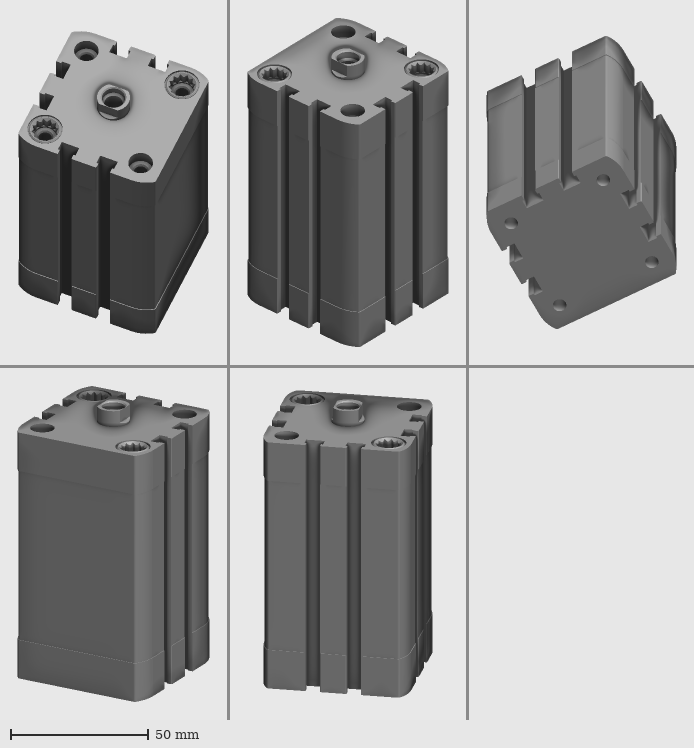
import cadquery as cq
import math

TOTAL_HEIGHT = 101.9
HOUSING_HEIGHT = 95.8
CAP_HEIGHT = 15.0

CAP_WIDTH = 54.5
BARREL_WIDTH = 54.0
HOLE_OFFSET = 19.0
CORNER_RADIUS = 13.8
CORNER_BLEND = 1.0

SLOTTED_FACE_ANGLES = (0, 90, 180)
SLOT_OFFSET = 7.6
SLOT_DEPTH = 5.5
SLOT_NECK_DEPTH = 2.0
SLOT_INNER_WIDTH = 6.9
SLOT_MOUTH_WIDTH = 5.4
RIB_CHAMFER = 0.3

THROUGH_DIAMETER = 4.9
COUNTERSINK_DIAMETER = 6.0
COUNTERBORE_DIAMETER = 9.0
SOCKET_DIAMETER = 8.5
RECESS_DEPTH = 5.0

SPLINE_ROOT_RADIUS = 5.0
SPLINE_DEPTH = 4.3
SPLINE_SQUARES = 3
SOCKET_MOUTH_DIAMETER = 10.6
GROOVE_OUTER_DIAMETER = 12.8
GROOVE_INNER_DIAMETER = 11.9
GROOVE_DEPTH = 0.8
GROOVE_CHAMFER = 0.5

ROD_DIAMETER = 12.0
ROD_BOTTOM = HOUSING_HEIGHT - CAP_HEIGHT
FLAT_WIDTH = 9.5
FLAT_HEIGHT = 4.7
FLAT_RUNOUT = 0.7
ROD_MOUTH_DIAMETER = 9.4
ROD_BORE_DIAMETER = 8.5
ROD_BORE_DEPTH = 3.1
ROD_TAP_DIAMETER = 6.8
ROD_TAP_DEPTH = 14.3
DRILL_POINT_ANGLE = 118.0


def revolved(profile, x=0.0, y=0.0):
    """Turn a closed (radius, height) profile about a vertical axis at x, y."""
    turned = cq.Workplane("XZ").polyline(profile).close().revolve(360, (0, 0, 0), (0, 1, 0))
    return turned.translate((x, y, 0))


def square_section(width, bottom, height):
    """Prism with flat sides and four corner arcs, each starting in line with a hole axis."""
    half = width / 2
    radius = CORNER_RADIUS - (CAP_WIDTH - width) / 2
    centre_y = half - radius
    reach = half - HOLE_OFFSET
    corner_y = centre_y + math.sqrt(radius**2 - reach**2)
    mid_angle = math.asin(reach / radius) / 2
    mid_x = HOLE_OFFSET + radius * math.sin(mid_angle)
    mid_y = centre_y + radius * math.cos(mid_angle)
    return (
        cq.Workplane("XY", origin=(0, 0, bottom))
        .moveTo(-HOLE_OFFSET, half)
        .lineTo(HOLE_OFFSET, half)
        .threePointArc((mid_x, mid_y), (half, corner_y))
        .lineTo(half, -corner_y)
        .threePointArc((mid_x, -mid_y), (HOLE_OFFSET, -half))
        .lineTo(-HOLE_OFFSET, -half)
        .threePointArc((-mid_x, -mid_y), (-half, -corner_y))
        .lineTo(-half, corner_y)
        .threePointArc((-mid_x, mid_y), (-HOLE_OFFSET, half))
        .close()
        .extrude(height)
        .edges("|Z and (>X or <X)")
        .fillet(CORNER_BLEND)
    )


def slot_cutter(bottom, height):
    """T-slot for the +Y face, centred on X = 0."""
    face = CAP_WIDTH / 2
    floor = face - SLOT_DEPTH
    shoulder = face - SLOT_NECK_DEPTH
    mouth = cq.Workplane("XY", origin=(0, (floor + face) / 2, bottom)).rect(
        SLOT_MOUTH_WIDTH, SLOT_DEPTH
    )
    inner = cq.Workplane("XY", origin=(0, (floor + shoulder) / 2, bottom)).rect(
        SLOT_INNER_WIDTH, shoulder - floor
    )
    return mouth.extrude(height).union(inner.extrude(height))


def slotted_section(width, bottom, height):
    """One length of the housing with a pair of T-slots in three of its faces."""
    section = square_section(width, bottom, height)
    cutter = slot_cutter(bottom, height)
    for face_angle in SLOTTED_FACE_ANGLES:
        for offset in (-SLOT_OFFSET, SLOT_OFFSET):
            slot = cutter.translate((offset, 0, 0)).rotate((0, 0, 0), (0, 0, 1), face_angle)
            section = section.cut(slot)
    return section


def make_cap(bottom):
    """End cap, with the rib between each pair of slots chamfered along its outer edges."""
    cap = slotted_section(CAP_WIDTH, bottom, CAP_HEIGHT)
    half = CAP_WIDTH / 2
    rib_edge = SLOT_OFFSET - SLOT_MOUTH_WIDTH / 2
    corner = [(rib_edge, half), (rib_edge - RIB_CHAMFER, half), (rib_edge, half - RIB_CHAMFER)]
    wedge = cq.Workplane("XY", origin=(0, 0, bottom)).polyline(corner).close().extrude(CAP_HEIGHT)
    for face_angle in SLOTTED_FACE_ANGLES:
        for cutter in (wedge, wedge.mirror("YZ")):
            cap = cap.cut(cutter.rotate((0, 0, 0), (0, 0, 1), face_angle))
    return cap


def stepped_hole(x, y, recess_diameter):
    """Through hole with a countersunk edge at the floor of a round recess."""
    floor = HOUSING_HEIGHT - RECESS_DEPTH
    through = THROUGH_DIAMETER / 2
    countersink = COUNTERSINK_DIAMETER / 2
    recess = recess_diameter / 2
    profile = [
        (0, 0),
        (through, 0),
        (through, floor - (countersink - through)),
        (countersink, floor),
        (recess, floor),
        (recess, HOUSING_HEIGHT),
        (0, HOUSING_HEIGHT),
    ]
    return revolved(profile, x, y)


def spline_cutter(x, y):
    """Twelve-pointed star, with a point toward +X, cut down from the top face."""
    side = SPLINE_ROOT_RADIUS * math.sqrt(2)
    floor = HOUSING_HEIGHT - SPLINE_DEPTH
    star = cq.Workplane("XY")
    for index in range(SPLINE_SQUARES):
        angle = index * 90 / SPLINE_SQUARES
        square = cq.Workplane("XY", origin=(0, 0, floor)).rect(side, side).extrude(SPLINE_DEPTH)
        star = star.union(square.rotate((0, 0, 0), (0, 0, 1), angle))
    return star.rotate((0, 0, 0), (0, 0, 1), 45).translate((x, y, 0))


def socket_mouth(x, y):
    """Conical lead-in of a splined socket."""
    mouth = SOCKET_MOUTH_DIAMETER / 2
    bore = SOCKET_DIAMETER / 2
    cone_bottom = HOUSING_HEIGHT - (mouth - bore)
    profile = [(0, cone_bottom), (bore, cone_bottom), (mouth, HOUSING_HEIGHT), (0, HOUSING_HEIGHT)]
    return revolved(profile, x, y)


def ring_groove(x, y):
    """Groove around a splined socket, with its inner rim chamfered."""
    inner = GROOVE_INNER_DIAMETER / 2
    outer = GROOVE_OUTER_DIAMETER / 2
    profile = [
        (inner, HOUSING_HEIGHT - GROOVE_DEPTH),
        (outer, HOUSING_HEIGHT - GROOVE_DEPTH),
        (outer, HOUSING_HEIGHT),
        (inner - GROOVE_CHAMFER, HOUSING_HEIGHT),
        (inner, HOUSING_HEIGHT - GROOVE_CHAMFER),
    ]
    return revolved(profile, x, y)


def make_housing():
    """Barrel between two end caps, all one solid."""
    barrel_height = HOUSING_HEIGHT - 2 * CAP_HEIGHT
    housing = slotted_section(BARREL_WIDTH, CAP_HEIGHT, barrel_height)
    for bottom in (0, HOUSING_HEIGHT - CAP_HEIGHT):
        housing = housing.union(make_cap(bottom))

    for side in (-1, 1):
        housing = housing.cut(stepped_hole(side * HOLE_OFFSET, -side * HOLE_OFFSET, COUNTERBORE_DIAMETER))

    for side in (-1, 1):
        place = side * HOLE_OFFSET
        housing = housing.cut(stepped_hole(place, place, SOCKET_DIAMETER))
        housing = housing.cut(spline_cutter(place, place))
        housing = housing.cut(socket_mouth(place, place))
        housing = housing.cut(ring_groove(place, place))

    rod_hole = cq.Workplane("XY", origin=(0, 0, ROD_BOTTOM)).circle(ROD_DIAMETER / 2)
    return housing.cut(rod_hole.extrude(CAP_HEIGHT))


def flat_cutter():
    """Wrench flat on the +Y side of the rod, with a sloping lower end."""
    flat = FLAT_WIDTH / 2
    edge = ROD_DIAMETER / 2
    flat_bottom = TOTAL_HEIGHT - FLAT_HEIGHT
    profile = [
        (flat, TOTAL_HEIGHT),
        (flat, flat_bottom),
        (edge, flat_bottom - FLAT_RUNOUT),
        (edge, TOTAL_HEIGHT),
    ]
    return cq.Workplane("YZ").polyline(profile).close().extrude(edge, both=True)


def rod_bore():
    """Tapped hole with a chamfered counterbore and a drill point."""
    mouth = ROD_MOUTH_DIAMETER / 2
    bore = ROD_BORE_DIAMETER / 2
    tap = ROD_TAP_DIAMETER / 2
    bore_bottom = TOTAL_HEIGHT - ROD_BORE_DEPTH
    tap_bottom = TOTAL_HEIGHT - ROD_TAP_DEPTH
    point_height = tap / math.tan(math.radians(DRILL_POINT_ANGLE / 2))
    profile = [
        (0, tap_bottom - point_height),
        (tap, tap_bottom),
        (tap, bore_bottom - (bore - tap)),
        (bore, bore_bottom),
        (bore, TOTAL_HEIGHT - (mouth - bore)),
        (mouth, TOTAL_HEIGHT),
        (0, TOTAL_HEIGHT),
    ]
    return revolved(profile)


def make_rod():
    """Round rod with two wrench flats and a tapped end."""
    rod = cq.Workplane("XY", origin=(0, 0, ROD_BOTTOM)).circle(ROD_DIAMETER / 2)
    rod = rod.extrude(TOTAL_HEIGHT - ROD_BOTTOM).cut(rod_bore())
    for angle in (0, 180):
        rod = rod.cut(flat_cutter().rotate((0, 0, 0), (0, 0, 1), angle))
    return rod


housing = make_housing()
rod = make_rod()
result = cq.Compound.makeCompound([housing.val(), rod.val()])